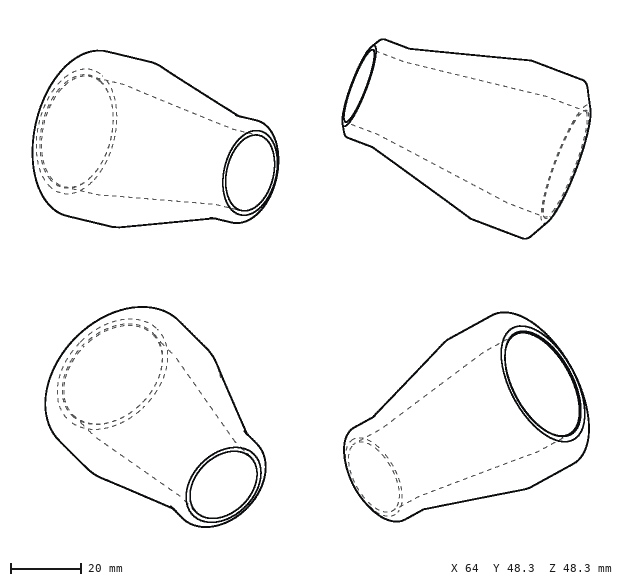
import cadquery as cq

length = 64.0
large_end_length = 20.0
small_end_start = 54.1
bore_cone_start = 12.0

large_radius = 48.3 / 2
small_radius = 30.0 / 2
large_bore_radius = 32.3 / 2
small_bore_radius = 22.0 / 2

mouth_chamfer = 0.3

large_face_radius = 18.1
small_face_radius = 12.3
large_bevel_length = 3.5
small_bevel_length = 1.7

corner_blend = 1.0


def revolve_about_x(points):
    """Revolve a closed (x, radius) outline around the X axis."""
    outline = cq.Workplane("XY").polyline(points).close()
    return outline.revolve(360, (0, 0, 0), (1, 0, 0))


def make_body():
    """Bevelled cylinder, cone and smaller bevelled cylinder with blended corners."""
    small_bevel_start = length - small_bevel_length
    body = revolve_about_x([
        (0, 0),
        (0, large_face_radius),
        (large_bevel_length, large_radius),
        (large_end_length, large_radius),
        (small_end_start, small_radius),
        (small_bevel_start, small_radius),
        (length, small_face_radius),
        (length, 0),
    ])
    corners = body.edges("%CIRCLE").edges("not(<X or >X)")
    return corners.fillet(corner_blend)


def make_bore():
    """Chamfered straight mouth, cone, then a straight hole through the small end."""
    return revolve_about_x([
        (0, 0),
        (0, large_bore_radius + mouth_chamfer),
        (mouth_chamfer, large_bore_radius),
        (bore_cone_start, large_bore_radius),
        (small_end_start, small_bore_radius),
        (length, small_bore_radius),
        (length, 0),
    ])


result = make_body().cut(make_bore())